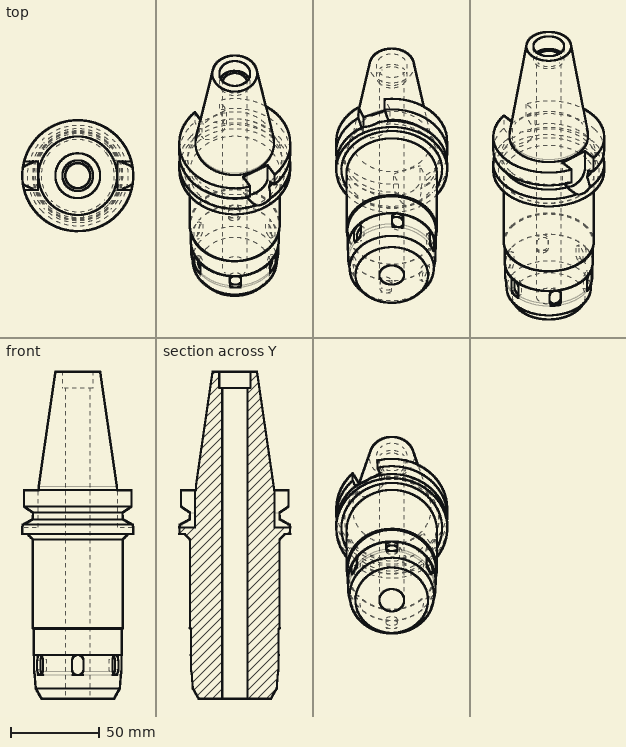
import cadquery as cq

total_length = 185.4
flange_top_z = 118.3
gauge_z = 120.1

gauge_radius = 22.2
taper_slope = 7 / 48
shank_tip_radius = gauge_radius - taper_slope * (total_length - gauge_z)

flange_radius = 31.5
upper_rim_bottom_z = 108.8
groove_top_z = 105.5
groove_bottom_z = 101.6
groove_radius = 26.7
lower_rim_top_z = 98.6
lower_rim_bottom_z = 93.3
flange_chamfer_top_radius = 28.5
body_top_z = 90.3

body_radius = 25.5
body_bottom_z = 39.7
body_edge_chamfer = 0.4

nut_radius = 25.0
nut_band_top_z = 24.8
nut_band_radius = 24.8
nut_band_bottom_z = 15.5
nose_top_z = 13.3
nose_top_radius = 24.5
nose_chamfer_z = 6.0
nose_chamfer_radius = 24.0
nose_radius = 20.5

bore_radius = 7.0
counterbore_radius = 8.7
counterbore_depth = 9.3

drive_slot_width = 16.1
drive_slot_bottom_z = 97.1
drive_slot_floor = 22.6

spanner_slot_count = 6
spanner_slot_width = 6.5
spanner_slot_floor = 22.5


def turned_body():
    profile = [
        (0, 0),
        (nose_radius, 0),
        (nose_chamfer_radius, nose_chamfer_z),
        (nose_top_radius, nose_top_z),
        (nut_band_radius, nut_band_bottom_z),
        (nut_band_radius, nut_band_top_z),
        (nut_radius, nut_band_top_z),
        (nut_radius, body_bottom_z),
        (body_radius - body_edge_chamfer, body_bottom_z),
        (body_radius, body_bottom_z + body_edge_chamfer),
        (body_radius, body_top_z),
        (flange_chamfer_top_radius, lower_rim_bottom_z),
        (flange_radius, lower_rim_bottom_z),
        (flange_radius, lower_rim_top_z),
        (groove_radius, groove_bottom_z),
        (groove_radius, groove_top_z),
        (flange_radius, upper_rim_bottom_z),
        (flange_radius, flange_top_z),
        (gauge_radius, flange_top_z),
        (gauge_radius, gauge_z),
        (shank_tip_radius, total_length),
        (0, total_length),
    ]
    return cq.Workplane("XZ").polyline(profile).close().revolve(360, (0, 0), (0, 1))


def bore():
    through = cq.Workplane("XY").circle(bore_radius).extrude(total_length)
    counterbore = (
        cq.Workplane("XY", origin=(0, 0, total_length - counterbore_depth))
        .circle(counterbore_radius)
        .extrude(counterbore_depth)
    )
    return through.union(counterbore)


def drive_slot(angle):
    """Slot open at the flange top, with a flat floor facing outward along +X before turning."""
    half_width = drive_slot_width / 2
    arc_center_z = drive_slot_bottom_z + half_width
    return (
        cq.Workplane("YZ", origin=(drive_slot_floor, 0, 0))
        .moveTo(-half_width, flange_top_z)
        .lineTo(-half_width, arc_center_z)
        .threePointArc((0, drive_slot_bottom_z), (half_width, arc_center_z))
        .lineTo(half_width, flange_top_z)
        .close()
        .extrude(flange_radius - drive_slot_floor)
        .rotate((0, 0, 0), (0, 0, 1), angle)
    )


def spanner_slot(angle):
    """Upright round-ended pocket with a flat floor, spanning the band of the nut."""
    middle_z = (nut_band_top_z + nose_top_z) / 2
    return (
        cq.Workplane("YZ", origin=(spanner_slot_floor, 0, middle_z))
        .slot2D(nut_band_top_z - nose_top_z, spanner_slot_width, 90)
        .extrude(nut_radius - spanner_slot_floor)
        .rotate((0, 0, 0), (0, 0, 1), angle)
    )


result = turned_body().cut(bore())

for angle in (0, 180):
    result = result.cut(drive_slot(angle))

for index in range(spanner_slot_count):
    result = result.cut(spanner_slot(90 + index * 360 / spanner_slot_count))